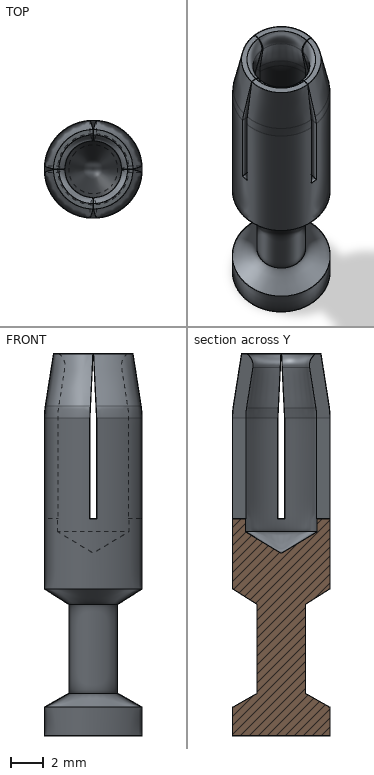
import cadquery as cq
import math

total_height = 23.4
flange_height = 1.75
flange_cone_top = 2.6
neck_top = 8.05
barrel_bottom = 9.0
bend_start = 19.45
bend_end = 20.2

barrel_radius = 3.0
neck_radius = 1.5

finger_tilt = math.radians(9.0)
wall_thickness = 0.82
bend_radius = (bend_end - bend_start) / math.sin(finger_tilt)
bend_center_radius = barrel_radius - bend_radius

bore_radius = barrel_radius - wall_thickness
mouth_radius = 2.1
throat_height = 22.54
bore_floor = 12.5
drill_point_angle = math.radians(118.0)

slit_width = 0.4
slit_tip_width = 0.02
slit_floor = 13.3
slit_count = 4


def bend_end_point(radius):
    """Point (r, z) where a bend arc of the given radius runs into the straight taper."""
    return (
        bend_center_radius + radius * math.cos(finger_tilt),
        bend_start + radius * math.sin(finger_tilt),
    )


def taper_point(start, height):
    """Point (r, z) at a height on the straight taper that leaves the start point."""
    start_radius, start_height = start
    return (start_radius - (height - start_height) * math.tan(finger_tilt), height)


def make_body():
    """Revolved outside shape: flange, neck, barrel and tapered tip."""
    taper_start = bend_end_point(bend_radius)
    return (
        cq.Workplane("XZ")
        .lineTo(barrel_radius, 0)
        .lineTo(barrel_radius, flange_height)
        .lineTo(neck_radius, flange_cone_top)
        .lineTo(neck_radius, neck_top)
        .lineTo(barrel_radius, barrel_bottom)
        .lineTo(barrel_radius, bend_start)
        .tangentArcPoint(taper_start, relative=False)
        .lineTo(*taper_point(taper_start, total_height))
        .lineTo(0, total_height)
        .close()
        .revolve(360, (0, 0), (0, 1))
    )


def make_bore():
    """Revolved socket: conical floor, bore that follows the bent wall, rounded mouth."""
    point_depth = bore_radius / math.tan(drill_point_angle / 2)
    taper_start = bend_end_point(bend_radius - wall_thickness)
    return (
        cq.Workplane("XZ")
        .moveTo(0, bore_floor - point_depth)
        .lineTo(bore_radius, bore_floor)
        .lineTo(bore_radius, bend_start)
        .tangentArcPoint(taper_start, relative=False)
        .lineTo(*taper_point(taper_start, throat_height))
        .tangentArcPoint((mouth_radius, total_height), relative=False)
        .lineTo(0, total_height)
        .close()
        .revolve(360, (0, 0), (0, 1))
    )


def make_slit(angle):
    """One radial slit, parallel along the barrel and narrowing towards the tip."""
    half_width = slit_width / 2
    half_tip_width = slit_tip_width / 2
    return (
        cq.Workplane("XZ")
        .moveTo(-half_width, slit_floor)
        .lineTo(half_width, slit_floor)
        .lineTo(half_width, bend_start)
        .lineTo(half_tip_width, total_height)
        .lineTo(-half_tip_width, total_height)
        .lineTo(-half_width, bend_start)
        .close()
        .extrude(barrel_radius)
        .rotate((0, 0, 0), (0, 0, 1), angle)
    )


result = make_body().cut(make_bore())
for slit_index in range(slit_count):
    result = result.cut(make_slit(slit_index * 360 / slit_count))